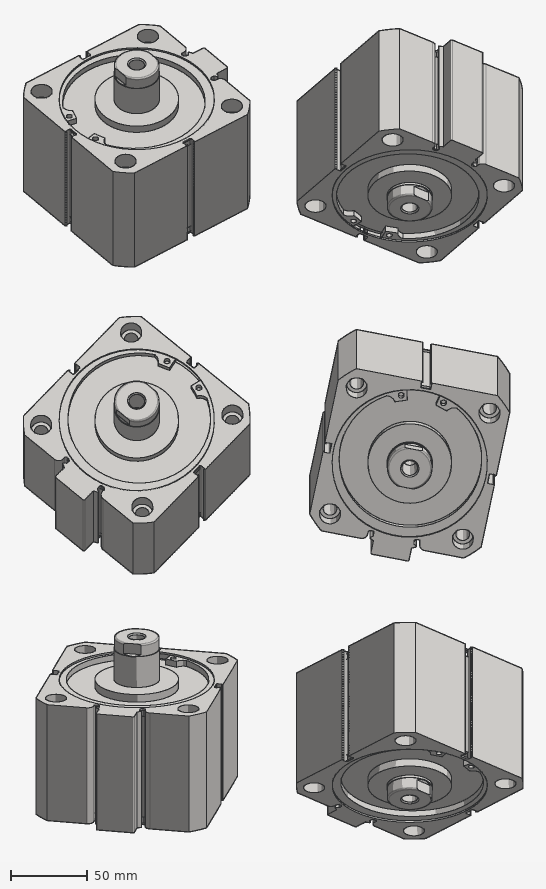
import cadquery as cq
import math

housing_width = 115.0
housing_height = 82.0
corner_round_diameter = 149.0
half_width = housing_width / 2
port_face_y = 57.2

bore_diameter = 102.0

bolt_spacing = 89.0
bolt_hole_diameter = 9.0
bolt_counterbore_diameter = 13.8
bolt_counterbore_depth = 11.0

port_top_y = 66.5
port_half_width = 12.8
port_corner_radius = 1.0
port_lip_half_width = 15.5
port_lip_y = 55.9
port_lip_land = 0.6
relief_inner_x = 13.6
relief_outer_x = 17.4
relief_shoulder_y = 54.0
relief_floor_y = 50.7
relief_floor_radius = 1.3
relief_mouth_radius = 4.0

slot_mouth_half_width = 3.1
slot_neck_half_width = 2.4
slot_inner_half_width = 3.4
slot_lip_thickness = 0.9
slot_depth = 4.6
slot_corner_radius = 0.7

ring_inset = 1.2
ring_thickness = 4.2
ring_outer_radius = 53.0
ring_inner_radius = 46.85
ring_inner_offset = 2.4
ring_turn = -0.8
lug_gap_half_angle = 12.7
lug_inner_radius = 43.6
lug_corner = (17.4, -39.8)
lug_fillet_middle = (20.0, -42.3)
lug_fillet_end_x = 23.5
lug_hole_x = 14.15
lug_hole_y = -45.0
lug_hole_diameter = 3.8

cover_thickness = 20.0
cover_boss_diameter = 55.0

rod_diameter = 30.0
rod_top_length = 30.25
rod_bottom_length = 10.25
rod_end_diameter = 29.4
rod_end_length = 8.5
rod_end_fillet = 1.0
flat_spacing = 27.0
flat_length = 7.25
flat_cutter_clearance = 1.0
rod_hole_diameter = 10.2
rod_hole_depth = 22.0
rod_hole_chamfer = 0.9
drill_point_angle = 118.0


def mirror_to_bottom(body):
    """Repeat a body of the upper end at the lower end."""
    middle = (0, 0, housing_height / 2)
    return body.mirror("XY", middle)


def port_block():
    """Port block standing out of the +Y face, with a flared lip on each side."""
    return (
        cq.Workplane("XY")
        .moveTo(-port_half_width, port_face_y)
        .lineTo(-port_half_width, port_top_y)
        .lineTo(port_half_width, port_top_y)
        .lineTo(port_half_width, port_face_y)
        .close()
        .extrude(housing_height)
        .edges("|Z and >Y")
        .fillet(port_corner_radius)
    )


def relief_groove():
    """Undercut groove on the +X side of the port block, with a rounded outer mouth."""
    mouth_center_x = relief_outer_x + relief_mouth_radius
    mouth_center_y = port_face_y - relief_mouth_radius
    diagonal = relief_mouth_radius * math.sqrt(0.5)
    return (
        cq.Workplane("XY")
        .moveTo(port_half_width, port_face_y)
        .lineTo(port_lip_half_width, port_lip_y)
        .lineTo(port_lip_half_width, port_lip_y - port_lip_land)
        .lineTo(relief_inner_x, relief_shoulder_y)
        .lineTo(relief_inner_x, relief_floor_y)
        .lineTo(relief_outer_x, relief_floor_y)
        .lineTo(relief_outer_x, mouth_center_y)
        .threePointArc(
            (mouth_center_x - diagonal, mouth_center_y + diagonal),
            (mouth_center_x, port_face_y),
        )
        .close()
        .extrude(housing_height)
        .edges("|Z and <Y")
        .fillet(relief_floor_radius)
    )


def sensor_slot():
    """Undercut slot with a bevelled mouth, cut into the -Y face."""
    neck_y = -half_width + slot_lip_thickness
    floor_y = -half_width + slot_depth
    return (
        cq.Workplane("XY")
        .moveTo(-slot_mouth_half_width, -half_width)
        .lineTo(slot_mouth_half_width, -half_width)
        .lineTo(slot_neck_half_width, neck_y)
        .lineTo(slot_inner_half_width, neck_y)
        .lineTo(slot_inner_half_width, floor_y)
        .lineTo(-slot_inner_half_width, floor_y)
        .lineTo(-slot_inner_half_width, neck_y)
        .lineTo(-slot_neck_half_width, neck_y)
        .close()
        .extrude(housing_height)
        .edges("|Z and >Y")
        .fillet(slot_corner_radius)
    )


def make_housing():
    corner_turning = cq.Workplane("XY").circle(corner_round_diameter / 2).extrude(housing_height)
    housing = (
        cq.Workplane("XY")
        .moveTo(-half_width, -half_width)
        .lineTo(half_width, -half_width)
        .lineTo(half_width, port_face_y)
        .lineTo(-half_width, port_face_y)
        .close()
        .extrude(housing_height)
        .intersect(corner_turning)
        .union(port_block())
    )

    relief = relief_groove()
    housing = housing.cut(relief).cut(relief.mirror("YZ"))
    for turn in (-90, 0, 90):
        housing = housing.cut(sensor_slot().rotate((0, 0, 0), (0, 0, 1), turn))

    bolts = cq.Workplane("XY").rect(bolt_spacing, bolt_spacing, forConstruction=True).vertices()
    counterbore = bolts.circle(bolt_counterbore_diameter / 2).extrude(bolt_counterbore_depth)
    housing = housing.cut(bolts.circle(bolt_hole_diameter / 2).extrude(housing_height))
    housing = housing.cut(counterbore).cut(mirror_to_bottom(counterbore))

    housing = housing.cut(cq.Workplane("XY").circle(bore_diameter / 2).extrude(housing_height))
    ring_groove = (
        cq.Workplane("XY", origin=(0, 0, ring_inset))
        .circle(ring_outer_radius)
        .extrude(ring_thickness)
    )
    return housing.cut(ring_groove).cut(mirror_to_bottom(ring_groove))


def on_circle(radius, angle):
    """Point at an angle in degrees, counted from -Y towards +X."""
    return (radius * math.sin(math.radians(angle)), -radius * math.cos(math.radians(angle)))


def mirrored(point):
    return (-point[0], point[1])


def make_top_ring():
    """Eccentric open ring with two drilled lugs beside the gap on the -Y side."""
    gap_outer = on_circle(ring_outer_radius, lug_gap_half_angle)
    gap_inner = on_circle(lug_inner_radius, lug_gap_half_angle)
    fillet_drop = math.sqrt(ring_inner_radius**2 - lug_fillet_end_x**2)
    fillet_end = (lug_fillet_end_x, -ring_inner_offset - fillet_drop)
    inner_top = (0, ring_inner_radius - ring_inner_offset)
    ring_bottom_z = housing_height - ring_inset - ring_thickness
    lug_holes = [(lug_hole_x, lug_hole_y), (-lug_hole_x, lug_hole_y)]

    ring = (
        cq.Workplane("XY", origin=(0, 0, ring_bottom_z))
        .moveTo(*gap_outer)
        .threePointArc((0, ring_outer_radius), mirrored(gap_outer))
        .lineTo(*mirrored(gap_inner))
        .lineTo(*mirrored(lug_corner))
        .threePointArc(mirrored(lug_fillet_middle), mirrored(fillet_end))
        .threePointArc(inner_top, fillet_end)
        .threePointArc(lug_fillet_middle, lug_corner)
        .lineTo(*gap_inner)
        .close()
        .extrude(ring_thickness)
    )
    holes = (
        cq.Workplane("XY", origin=(0, 0, ring_bottom_z))
        .pushPoints(lug_holes)
        .circle(lug_hole_diameter / 2)
        .extrude(ring_thickness)
    )
    return ring.cut(holes).rotate((0, 0, 0), (0, 0, 1), ring_turn)


def make_top_cover():
    """Disc held under the ring, with a boss flush with the housing end."""
    cover_top_z = housing_height - ring_inset - ring_thickness
    disc = (
        cq.Workplane("XY", origin=(0, 0, cover_top_z))
        .circle(bore_diameter / 2)
        .extrude(-cover_thickness)
    )
    boss = (
        cq.Workplane("XY", origin=(0, 0, cover_top_z))
        .circle(cover_boss_diameter / 2)
        .extrude(housing_height - cover_top_z)
    )
    rod_bore = cq.Workplane("XY").circle(rod_diameter / 2).extrude(housing_height)
    return disc.union(boss).cut(rod_bore)


def flat_cutter():
    """Cutter for the -Y wrench flat of a rod end whose tip is at Z = 0, with a 45 degree run-out."""
    flat_y = -flat_spacing / 2
    outside_y = -rod_diameter / 2 - flat_cutter_clearance
    return (
        cq.Workplane("YZ")
        .moveTo(flat_y, 0)
        .lineTo(flat_y, -flat_length)
        .lineTo(outside_y, -flat_length - (flat_y - outside_y))
        .lineTo(outside_y, 0)
        .close()
        .extrude(rod_diameter / 2, both=True)
    )


def end_hole():
    """Blind hole with a chamfered mouth and a drill point, for a tip at Z = 0."""
    radius = rod_hole_diameter / 2
    point_depth = radius / math.tan(math.radians(drill_point_angle / 2))
    return (
        cq.Workplane("XZ")
        .lineTo(radius + rod_hole_chamfer, 0)
        .lineTo(radius, -rod_hole_chamfer)
        .lineTo(radius, -rod_hole_depth)
        .lineTo(0, -rod_hole_depth - point_depth)
        .close()
        .revolve(360, (0, 0, 0), (0, 1, 0))
    )


def make_rod_half(length):
    """Half of the rod, with its tip at Z = 0 and the rest below it."""
    end_radius = rod_end_diameter / 2
    half = (
        cq.Workplane("XZ")
        .lineTo(end_radius - rod_end_fillet, 0)
        .radiusArc((end_radius, -rod_end_fillet), rod_end_fillet)
        .lineTo(end_radius, -rod_end_length)
        .lineTo(rod_diameter / 2, -rod_end_length)
        .lineTo(rod_diameter / 2, -length)
        .lineTo(0, -length)
        .close()
        .revolve(360, (0, 0, 0), (0, 1, 0))
    )
    flat = flat_cutter()
    return half.cut(flat).cut(flat.mirror("XZ")).cut(end_hole())


def make_rod():
    """Rod that passes through both covers, with the same end at top and bottom."""
    half_length = (rod_bottom_length + housing_height + rod_top_length) / 2
    top_half = make_rod_half(half_length).translate((0, 0, housing_height + rod_top_length))
    bottom_half = make_rod_half(half_length).mirror("XY").translate((0, 0, -rod_bottom_length))
    return top_half.union(bottom_half)


housing = make_housing()
top_ring = make_top_ring()
bottom_ring = mirror_to_bottom(top_ring)
top_cover = make_top_cover()
bottom_cover = mirror_to_bottom(top_cover)
rod = make_rod()

bodies = [housing, top_ring, bottom_ring, top_cover, bottom_cover, rod]
result = cq.Compound.makeCompound([body.solids().val() for body in bodies])